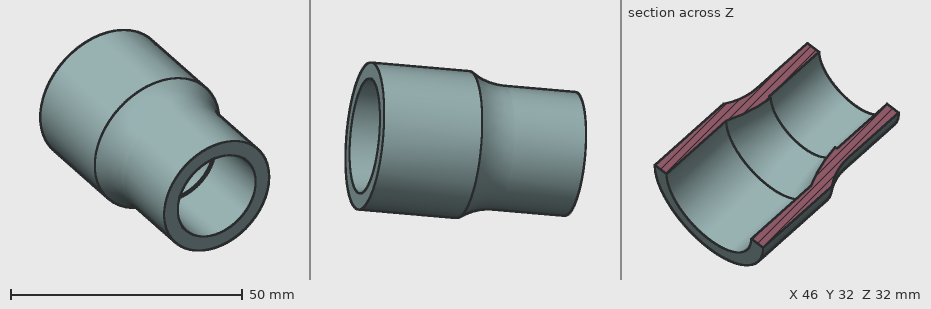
import cadquery as cq
import math

total_length = 46.0
wide_outer_radius = 32.0 / 2
narrow_outer_radius = 27.0 / 2
wide_bore_radius = 25.0 / 2
narrow_bore_radius = 20.0 / 2

outer_start = 22.0
outer_end = outer_start + 8.0
outer_drop = wide_outer_radius - narrow_outer_radius
outer_arc_radius = ((outer_end - outer_start) ** 2 + outer_drop**2) / (2 * outer_drop)

throat_radius = 18.9 / 2
bore_start = outer_start - 3.0
bore_end = outer_end
bore_arc_radius = 35.4


def arc_middle(start, end, arc_radius):
    """Middle point of a transition arc from start to end, bulging toward the axis."""
    length = end[0] - start[0]
    drop = start[1] - end[1]
    chord = math.hypot(length, drop)
    sagitta = arc_radius - math.sqrt(arc_radius**2 - (chord / 2) ** 2)
    middle_x = (start[0] + end[0]) / 2 - sagitta * drop / chord
    middle_radius = (start[1] + end[1]) / 2 - sagitta * length / chord
    return (middle_x, middle_radius)


outer_wide_end = (outer_start, wide_outer_radius)
outer_narrow_end = (outer_end, narrow_outer_radius)
bore_wide_end = (bore_start, wide_bore_radius)
throat = (bore_end, throat_radius)

wall_section = (
    cq.Workplane("XY")
    .moveTo(0, wide_bore_radius)
    .lineTo(0, wide_outer_radius)
    .lineTo(*outer_wide_end)
    .threePointArc(arc_middle(outer_wide_end, outer_narrow_end, outer_arc_radius), outer_narrow_end)
    .lineTo(total_length, narrow_outer_radius)
    .lineTo(total_length, narrow_bore_radius)
    .lineTo(bore_end, narrow_bore_radius)
    .lineTo(*throat)
    .threePointArc(arc_middle(bore_wide_end, throat, bore_arc_radius), bore_wide_end)
    .close()
)

result = wall_section.revolve(360, (0, 0, 0), (1, 0, 0))